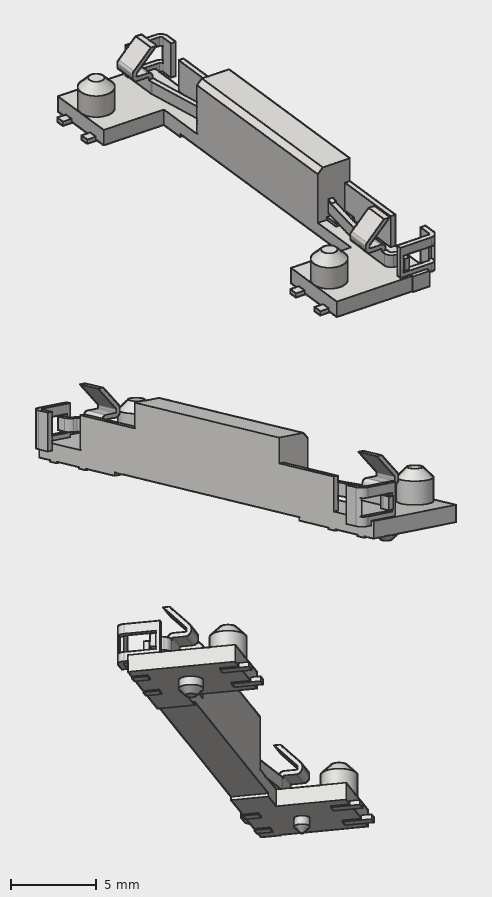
import cadquery as cq
import math

LENGTH = 29.0
END_LUG_LENGTH = 0.1
END_LUG_DEPTH = 1.2
BODY_LENGTH = LENGTH - END_LUG_LENGTH
BODY_END = BODY_LENGTH / 2

FOOT_WIDTH = 4.75
FOOT_DEPTH = 6.5
FOOT_HEIGHT = 1.05
BEAM_DEPTH = 2.25
BEAM_UNDERSIDE = 0.2
BEAM_RAISED_LENGTH = 16.0
FOOT_X = BODY_END - FOOT_WIDTH / 2

BLOCK_LENGTH = 12.53
BLOCK_TOP = 4.67
BLOCK_CHAMFER = 0.35
WALL_LENGTH = 21.98
WALL_TOP = 3.13
STEP_LENGTH = 14.45
STEP_DEPTH = 1.62
STEP_TOP = 1.25

POST_DIAMETER = 2.18
POST_RADIUS = POST_DIAMETER / 2
POST_TOP = 3.07
POST_CHAMFER = 0.6
POST_Y = POST_RADIUS - FOOT_DEPTH
PEG_Y = -3.15
PEG_LENGTH = 0.93
PEG_CHAMFER = 0.4
PEG_RADII = {-1: 0.72, 1: 0.45}

PAD_WIDTH = 0.6
PAD_THICKNESS = 0.3
PAD_DROP = 0.1
PAD_SPACING = 2.52
PAD_OVERHANG = 0.6
FRONT_PAD_LENGTH = 1.77
REAR_PAD_LENGTH = 0.95

SHEET = 0.35
BEND_INNER_RADIUS = 0.15

SPRING_BOTTOM = 1.48
SPRING_HEIGHT = 0.8
SPRING_TOP = SPRING_BOTTOM + SPRING_HEIGHT
SPRING_TIP_X = 14.35
SPRING_REAR_Y = -1.48
SPRING_FRONT_Y = -2.1
JOG_OUTER_X = 13.6
JOG_INNER_X = 13.37
SLOPE_START_X = 11.02
BLOCK_ENTRY_Y = -1.35
SHOULDER_LENGTH = 0.35
SHOULDER_RISE = 0.12

LATCH_WIDTH = 1.6
LATCH_SHEET = 0.3
LATCH_INNER_RADIUS = 0.05
LATCH_FRONT_Y = -3.4
LATCH_SHELF_TOP = 2.75
LATCH_KNEE_Z = 3.05
LATCH_ARM_TOP = 4.4
LATCH_ARM_ANGLE = 45

BRACKET_OUTER_X = 14.27
BRACKET_BOTTOM = 0.75
BRACKET_TOP = 3.07
BRACKET_FRONT_Y = -1.88
BRACKET_REAR_Y = 0.78
BRACKET_LEG_LENGTH = 1.33
WINDOW_BOTTOM = 1.33
WINDOW_TOP = 2.46
WINDOW_FRONT_Y = -1.65
WINDOW_REAR_Y = 0.65


def box(x_range, y_range, z_range):
    """Box between pairs of limits."""
    sizes = [high - low for low, high in (x_range, y_range, z_range)]
    corner = (x_range[0], y_range[0], z_range[0])
    return cq.Workplane("XY").box(*sizes, centered=False).translate(corner)


def bent_sheet(plane, path, height, thickness, inner_radius):
    """Extrude a sheet whose centreline follows `path`, with a round bend at each inner point."""
    bend_radius = inner_radius + thickness / 2
    headings = [math.atan2(b[1] - a[1], b[0] - a[0]) for a, b in zip(path, path[1:])]

    stations = [(*path[0], headings[0])]
    for (x, y), before, after in zip(path[1:-1], headings, headings[1:]):
        turn = math.remainder(after - before, math.tau)
        setback = bend_radius * math.tan(abs(turn) / 2)
        signed_radius = math.copysign(bend_radius, turn)
        centre_x = x - setback * math.cos(before) - signed_radius * math.sin(before)
        centre_y = y - setback * math.sin(before) + signed_radius * math.cos(before)
        for heading in (before, before + turn / 2, after):
            arc_x = centre_x + signed_radius * math.sin(heading)
            arc_y = centre_y - signed_radius * math.cos(heading)
            stations.append((arc_x, arc_y, heading))
    stations.append((*path[-1], headings[-1]))

    def offset_side(distance):
        return [(x - distance * math.sin(h), y + distance * math.cos(h)) for x, y, h in stations]

    left_side = offset_side(thickness / 2)
    right_side = offset_side(-thickness / 2)[::-1]
    outline = cq.Workplane(plane).moveTo(*right_side[-1])
    for side_points in (left_side, right_side):
        outline = outline.lineTo(*side_points[0])
        for i in range(1, len(side_points) - 1, 3):
            outline = outline.lineTo(*side_points[i])
            outline = outline.threePointArc(side_points[i + 1], side_points[i + 2])
        if side_points is left_side:
            outline = outline.lineTo(*side_points[-1])
    return outline.close().extrude(height)


def make_body():
    """Beam with its centre block, rear wall and low step."""
    beam = box((-BODY_END, BODY_END), (-BEAM_DEPTH, 0), (0, FOOT_HEIGHT))
    relief = BEAM_RAISED_LENGTH / 2
    beam = beam.cut(box((-relief, relief), (-BEAM_DEPTH, 0), (0, BEAM_UNDERSIDE)))
    half = BLOCK_LENGTH / 2
    block = box((-half, half), (-BEAM_DEPTH, 0), (BEAM_UNDERSIDE, BLOCK_TOP))
    block = block.edges("<Y and >Z").chamfer(BLOCK_CHAMFER)
    half = WALL_LENGTH / 2
    wall = box((-half, half), (-SHEET, 0), (BEAM_UNDERSIDE, WALL_TOP))
    half = STEP_LENGTH / 2
    step = box((-half, half), (-STEP_DEPTH, 0), (BEAM_UNDERSIDE, STEP_TOP))
    return beam.union(block).union(wall).union(step)


def make_foot(peg_radius):
    """Right-hand foot with its post, peg and solder pads."""
    foot = box((BODY_END - FOOT_WIDTH, BODY_END), (-FOOT_DEPTH, 0), (0, FOOT_HEIGHT))
    post = cq.Workplane("XY").center(FOOT_X, POST_Y).circle(POST_RADIUS).extrude(POST_TOP)
    foot = foot.union(post.faces(">Z").chamfer(POST_CHAMFER))
    peg = cq.Workplane("XY").center(FOOT_X, PEG_Y).circle(peg_radius).extrude(-PEG_LENGTH)
    foot = foot.union(peg.faces("<Z").chamfer(PEG_CHAMFER))

    pad_tip = -FOOT_DEPTH - PAD_OVERHANG
    pad_z = (-PAD_DROP, PAD_THICKNESS - PAD_DROP)
    for pad_x in (FOOT_X - PAD_SPACING / 2, FOOT_X + PAD_SPACING / 2):
        for pad_y in ((pad_tip, pad_tip + FRONT_PAD_LENGTH), (-REAR_PAD_LENGTH, 0)):
            foot = foot.union(box((pad_x - PAD_WIDTH / 2, pad_x + PAD_WIDTH / 2), pad_y, pad_z))
    return foot


def make_spring():
    """Right-hand spring strip, running from the bracket window into the block."""
    block_x = BLOCK_LENGTH / 2
    path = [
        (SPRING_TIP_X, SPRING_REAR_Y),
        (JOG_OUTER_X, SPRING_REAR_Y),
        (JOG_INNER_X, SPRING_FRONT_Y),
        (SLOPE_START_X, SPRING_FRONT_Y),
        (block_x, BLOCK_ENTRY_Y),
    ]
    spring = bent_sheet("XY", path, SPRING_HEIGHT, SHEET, BEND_INNER_RADIUS)
    spring = spring.translate((0, 0, SPRING_BOTTOM))

    shoulder = cq.Workplane("XZ").moveTo(block_x, SPRING_TOP)
    shoulder = shoulder.lineTo(block_x + SHOULDER_LENGTH, SPRING_TOP)
    shoulder = shoulder.lineTo(block_x, SPRING_TOP + SHOULDER_RISE).close()
    shoulder = shoulder.extrude(SHEET / 2, both=True).translate((0, BLOCK_ENTRY_Y, 0))
    return spring.union(shoulder)


def make_latch():
    """Right-hand latch: rises from the spring, reaches forward and slopes back upward."""
    half_sheet = LATCH_SHEET / 2
    root_y = SPRING_FRONT_Y - SHEET / 2 + half_sheet
    shelf_z = LATCH_SHELF_TOP - half_sheet
    front_y = LATCH_FRONT_Y + half_sheet
    arm_rise = LATCH_ARM_TOP + LATCH_SHEET - LATCH_KNEE_Z
    arm_run = arm_rise / math.tan(math.radians(LATCH_ARM_ANGLE))
    path = [
        (root_y, SPRING_BOTTOM),
        (root_y, shelf_z),
        (front_y, shelf_z),
        (front_y, LATCH_KNEE_Z),
        (front_y + arm_run, LATCH_KNEE_Z + arm_rise),
    ]
    latch = bent_sheet("YZ", path, LATCH_WIDTH, LATCH_SHEET, LATCH_INNER_RADIUS)
    trim = box((0, LATCH_WIDTH), (LATCH_FRONT_Y, 0), (LATCH_ARM_TOP, LATCH_ARM_TOP + 2 * LATCH_SHEET))
    return latch.cut(trim).translate((FOOT_X - LATCH_WIDTH / 2, 0, 0))


def make_bracket():
    """Right-hand L-shaped bracket, its window cut through the side plate and the bend."""
    plate_x = BRACKET_OUTER_X - SHEET / 2
    leg_y = BRACKET_REAR_Y - SHEET / 2
    path = [
        (plate_x, BRACKET_FRONT_Y),
        (plate_x, leg_y),
        (BRACKET_OUTER_X - BRACKET_LEG_LENGTH, leg_y),
    ]
    bracket = bent_sheet("XY", path, BRACKET_TOP - BRACKET_BOTTOM, SHEET, BEND_INNER_RADIUS)
    bracket = bracket.translate((0, 0, BRACKET_BOTTOM))
    window_x = (BRACKET_OUTER_X - SHEET - BEND_INNER_RADIUS, BRACKET_OUTER_X)
    window = box(window_x, (WINDOW_FRONT_Y, WINDOW_REAR_Y), (WINDOW_BOTTOM, WINDOW_TOP))
    return bracket.cut(window)


end_lug = box((BODY_END, BODY_END + END_LUG_LENGTH), (-END_LUG_DEPTH, 0), (0, FOOT_HEIGHT))
result = make_body().union(end_lug)
for side, peg_radius in PEG_RADII.items():
    for feature in (make_foot(peg_radius), make_spring(), make_latch(), make_bracket()):
        result = result.union(feature if side > 0 else feature.mirror("YZ"))